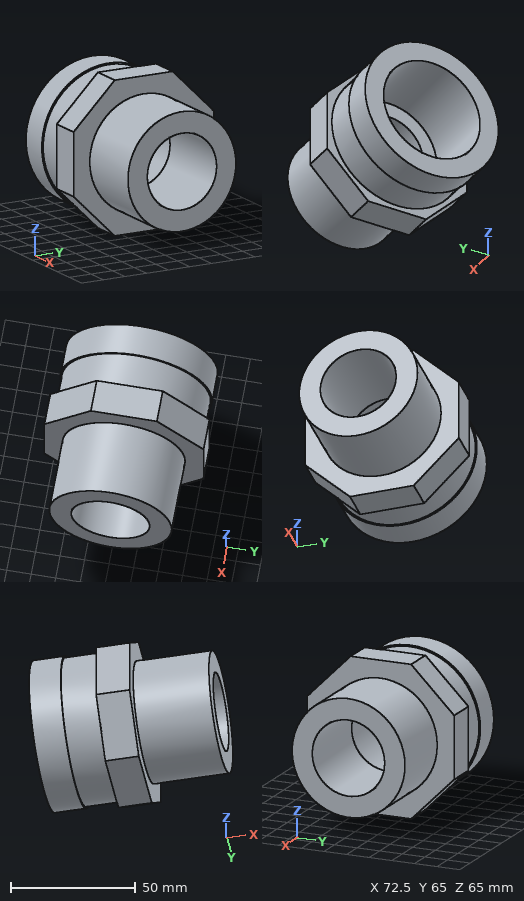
import cadquery as cq
import math

TOTAL_LENGTH = 72.5
COLLAR_END = 13.0
NUT_START = 27.8
NUT_END = 41.5
SOCKET_DEPTH = (NUT_START + NUT_END) / 2

COLLAR_DIAMETER = 62.0
NECK_DIAMETER = 60.7
SPIGOT_DIAMETER = 50.0
SOCKET_DIAMETER = 44.8
BORE_DIAMETER = 32.0

NUT_SIDES = 8
NUT_ACROSS_FLATS = 65.0


def cylinder(diameter, start, end):
    """Cylinder around the X axis between two stations."""
    return (
        cq.Workplane("YZ", origin=(start, 0, 0))
        .circle(diameter / 2)
        .extrude(end - start)
    )


def octagonal_nut():
    """Octagonal prism with flats facing +/-Y and +/-Z."""
    half_side_angle = math.pi / NUT_SIDES
    across_corners = NUT_ACROSS_FLATS / math.cos(half_side_angle)
    return (
        cq.Workplane("YZ", origin=(NUT_START, 0, 0))
        .transformed(rotate=(0, 0, math.degrees(half_side_angle)))
        .polygon(NUT_SIDES, across_corners)
        .extrude(NUT_END - NUT_START)
    )


def outer_body():
    """Collar, neck, nut and spigot joined end to end."""
    collar = cylinder(COLLAR_DIAMETER, 0, COLLAR_END)
    neck = cylinder(NECK_DIAMETER, COLLAR_END, NUT_START)
    spigot = cylinder(SPIGOT_DIAMETER, NUT_END, TOTAL_LENGTH)
    return collar.union(neck).union(octagonal_nut()).union(spigot)


def passage():
    """Through bore that widens into the socket at the collar end."""
    bore = cylinder(BORE_DIAMETER, 0, TOTAL_LENGTH)
    socket = cylinder(SOCKET_DIAMETER, 0, SOCKET_DEPTH)
    return bore.union(socket)


result = outer_body().cut(passage())